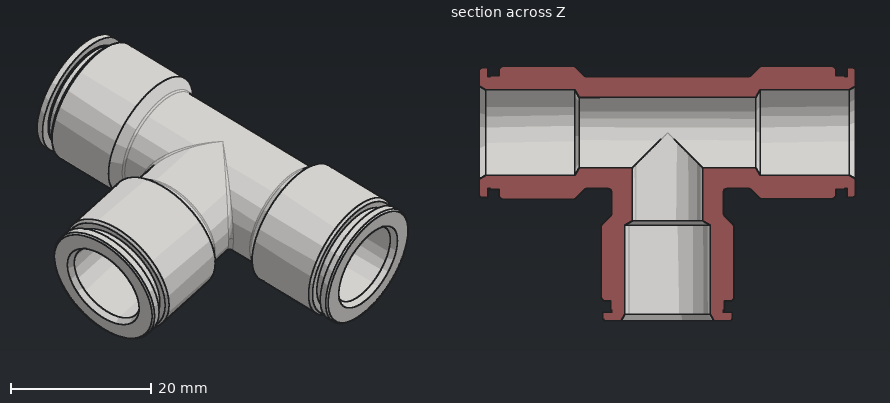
import cadquery as cq
import math

port_reach = 53.61 / 2

tube_bore_diameter = 12.15
mouth_diameter = 13.2
flow_bore_diameter = 10.0
body_diameter = 16.0
undercut_diameter = 16.0
neck_diameter = 16.25
flange_diameter = 18.5
collar_diameter = 19.0

flange_thickness = 1.25
neck_start = 1.5
collar_start = 2.8
collar_taper_start = 13.6
tube_stop_depth = 13.6

flange_chamfer = 0.25
collar_chamfer = 0.4
taper_root_fillet = 0.5
crotch_fillet = 0.5

collar_taper_angle = math.radians(45)
mouth_angle = math.radians(30)
tube_stop_angle = math.radians(60)
collar_taper = (collar_diameter - body_diameter) / 2 / math.tan(collar_taper_angle)
mouth_depth = (mouth_diameter - tube_bore_diameter) / 2 / math.tan(mouth_angle)
tube_stop_taper = (tube_bore_diameter - flow_bore_diameter) / 2 / math.tan(tube_stop_angle)

PORT_ANGLES = (0, 180, 270)


def revolve_about_x(points):
    """Revolve an outline of (x, radius) points about the X axis."""
    return cq.Workplane("XY").polyline(points).close().revolve(360, (0, 0, 0), (1, 0, 0))


def toward(port_angle, shape):
    """Turn a shape built along +X so that it points along a port direction."""
    return shape.rotate((0, 0, 0), (0, 0, 1), port_angle)


def make_body():
    """Solid tee body, rounded along the mitre lines where the branch meets the run."""
    length = port_reach - collar_taper_start
    barrel = cq.Workplane("YZ").circle(body_diameter / 2).extrude(length)
    body = toward(PORT_ANGLES[0], barrel)
    for angle in PORT_ANGLES[1:]:
        body = body.union(toward(angle, barrel))
    body = body.clean()
    return body.edges("%ELLIPSE").fillet(crotch_fillet)


def make_collar():
    """Collar along +X: outer edge chamfered, inner end tapering onto the body."""
    outer_x = port_reach - collar_start
    taper_x = port_reach - collar_taper_start
    root_x = taper_x - collar_taper
    body_radius = body_diameter / 2
    collar_radius = collar_diameter / 2

    half_angle = collar_taper_angle / 2
    tangent_length = taper_root_fillet * math.tan(half_angle)
    arc_start = (root_x - tangent_length, body_radius)
    arc_end = (
        root_x + tangent_length * math.cos(collar_taper_angle),
        body_radius + tangent_length * math.sin(collar_taper_angle),
    )
    arc_middle = (
        arc_start[0] + taper_root_fillet * math.sin(half_angle),
        body_radius + taper_root_fillet * (1 - math.cos(half_angle)),
    )
    return (
        cq.Workplane("XY")
        .moveTo(arc_start[0], 0)
        .lineTo(*arc_start)
        .threePointArc(arc_middle, arc_end)
        .lineTo(taper_x, collar_radius)
        .lineTo(outer_x - collar_chamfer, collar_radius)
        .lineTo(outer_x, collar_radius - collar_chamfer)
        .lineTo(outer_x, 0)
        .close()
        .revolve(360, (0, 0, 0), (1, 0, 0))
    )


def make_release_ring():
    """Release ring along +X: neck, shallow undercut and end flange."""
    collar_x = port_reach - collar_start
    neck_x = port_reach - neck_start
    flange_x = port_reach - flange_thickness
    flange_radius = flange_diameter / 2
    return revolve_about_x([
        (collar_x, 0),
        (collar_x, neck_diameter / 2),
        (neck_x, neck_diameter / 2),
        (neck_x, undercut_diameter / 2),
        (flange_x, undercut_diameter / 2),
        (flange_x, flange_radius),
        (port_reach - flange_chamfer, flange_radius),
        (port_reach, flange_radius - flange_chamfer),
        (port_reach, 0),
    ])


def make_bore():
    """Hollow of a port along +X: chamfered mouth, tube bore, conical stop, flow bore."""
    stop_x = port_reach - tube_stop_depth
    return revolve_about_x([
        (0, 0),
        (0, flow_bore_diameter / 2),
        (stop_x - tube_stop_taper, flow_bore_diameter / 2),
        (stop_x, tube_bore_diameter / 2),
        (port_reach - mouth_depth, tube_bore_diameter / 2),
        (port_reach, mouth_diameter / 2),
        (port_reach, 0),
    ])


def make_tee():
    """Add the port details to the body, then open all the bores."""
    tee = make_body()
    port = make_collar().union(make_release_ring())
    for angle in PORT_ANGLES:
        tee = tee.union(toward(angle, port))
    bore = make_bore()
    bores = toward(PORT_ANGLES[0], bore)
    for angle in PORT_ANGLES[1:]:
        bores = bores.union(toward(angle, bore))
    return tee.cut(bores)


result = make_tee()